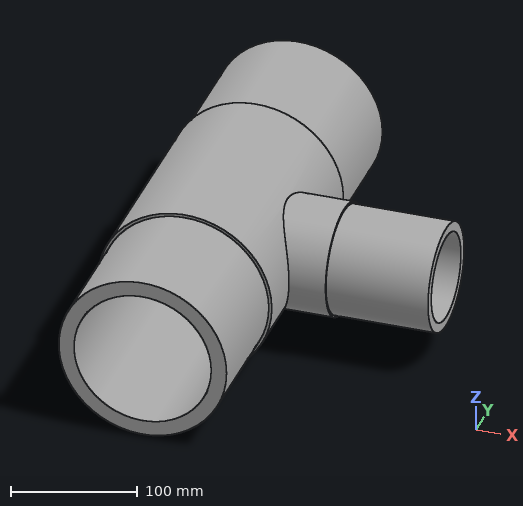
import cadquery as cq

RUN_LENGTH = 388.0
RUN_DIAMETER = 140.0
RUN_BORE = 114.4

BODY_DIAMETER = 145.12
BODY_LENGTH = 178.0

BRANCH_REACH = 188.0
BRANCH_DIAMETER = 90.0
BRANCH_BORE = 73.6

COLLAR_DIAMETER = 93.28
COLLAR_REACH = 103.0


def run_cylinder(diameter, length):
    """Cylinder along Y, centred on the origin."""
    return cq.Workplane("XZ").circle(diameter / 2).extrude(length / 2, both=True)


def branch_cylinder(diameter, reach):
    """Cylinder along +X, starting on the run axis."""
    return cq.Workplane("YZ").circle(diameter / 2).extrude(reach)


def outer_shape():
    """Solid tee: the run with its body, and the branch with its collar."""
    run = run_cylinder(RUN_DIAMETER, RUN_LENGTH)
    body = run_cylinder(BODY_DIAMETER, BODY_LENGTH)
    branch = branch_cylinder(BRANCH_DIAMETER, BRANCH_REACH)
    collar = branch_cylinder(COLLAR_DIAMETER, COLLAR_REACH)
    return run.union(body).union(collar).union(branch)


def bores():
    """Through bore of the run, joined by the bore of the branch."""
    run_bore = run_cylinder(RUN_BORE, RUN_LENGTH)
    branch_bore = branch_cylinder(BRANCH_BORE, BRANCH_REACH)
    return run_bore.union(branch_bore)


result = outer_shape().cut(bores())